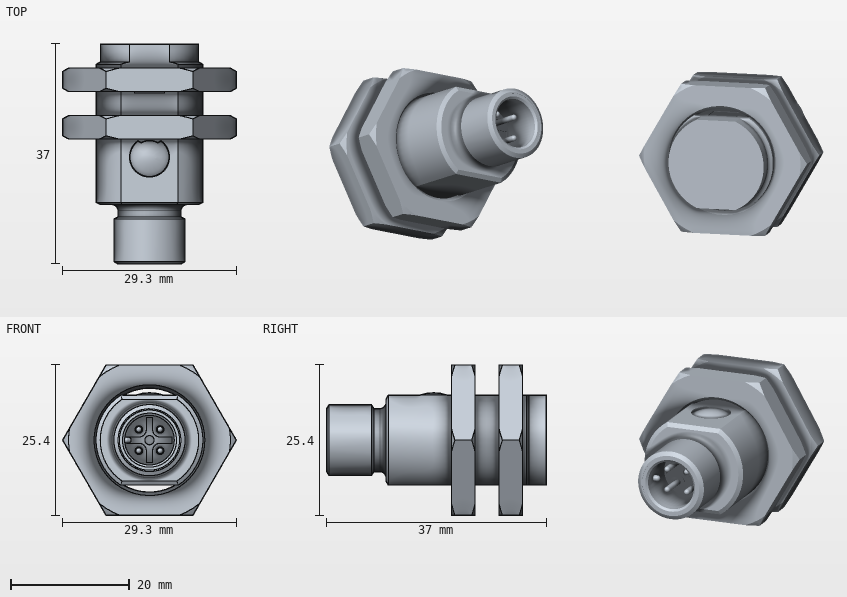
import cadquery as cq
import math

LENGTH = 37.0

BARREL_RADIUS = 9.0
FLAT_HALF_HEIGHT = 7.6
SHOULDER_Y = 10.0
REAR_NECK_RADIUS = 8.3
REAR_NECK_LENGTH = 2.95

BEVEL_RADIAL = 0.7
BEVEL_AXIAL = 0.4

CONNECTOR_RADIUS = 6.0
RELIEF_RADIUS = 5.33
RELIEF_FRONT_Y = 7.95
RELIEF_FILLET = 1.0

SOCKET_RADIUS = 4.18
SOCKET_DEPTH = 7.5
LEAD_IN_RADIAL = 0.37
LEAD_IN_AXIAL = 0.3
FACE_STEP_RADIUS = 5.07
FACE_STEP_DEPTH = 0.07

CONTACT_SPACING = 3.6
CONTACT_DIAMETER = 1.0
CONTACT_RADIUS = CONTACT_DIAMETER / 2
CONTACT_HOLE_RADIUS = 0.63
CONTACT_HOLE_DEPTH = 0.2
CONTACT_TIP_Y = 2.6

KEY_RADIUS = 0.5
KEY_TIP_X = -3.07
KEY_Y = 3.0

CROSS_LENGTH = 7.55
CROSS_WIDTH = 1.07
CROSS_FILLET = 1.22
CROSS_DEPTH = 0.2
CENTRE_HOLE_RADIUS = 0.78
CENTRE_HOLE_DEPTH = 0.37

BUTTON_Y = 18.02
BUTTON_RADIUS = 3.35
BUTTON_TOP = 8.0
BUTTON_RIM = 7.1
BUTTON_CLEARANCE = 0.07
TAB_INNER_RADIUS = 2.8
TAB_APEX = 1.63
TAB_SIDE_ANGLE = math.radians(30)

NUT_COUNT = 2
NUT_ACROSS_FLATS = 25.35
NUT_THICKNESS = 4.0
NUT_PITCH = 2 * NUT_THICKNESS
FIRST_NUT_Y = 21.0
NUT_BORE_RADIUS = 8.75
NUT_BORE_CHAMFER = 0.6
NUT_FACE_RADIUS = 13.6
NUT_CORNER_RADIUS = NUT_ACROSS_FLATS / math.sqrt(3)
NUT_BEVEL_AXIAL = (NUT_CORNER_RADIUS - NUT_FACE_RADIUS) * math.tan(math.radians(30))

LABEL_WIDTH = 5.1
LABEL_LENGTH = NUT_THICKNESS
LABEL_FRONT_Y = 28.82
LABEL_DEPTH = 0.1


def cylinder_y(radius, start_y, end_y, x=0.0, z=0.0):
    """Cylinder along Y between two stations."""
    axis = cq.Vector(0, 1, 0)
    return cq.Workplane(obj=cq.Solid.makeCylinder(radius, end_y - start_y, cq.Vector(x, start_y, z), axis))


def revolve_y(profile):
    """Revolve a closed (radius, y) outline about the Y axis."""
    return profile.close().revolve(360, (0, 0, 0), (0, 1, 0))


def make_barrel():
    """Round barrel with stepped rear end, flattened above and below."""
    neck_y = LENGTH - REAR_NECK_LENGTH
    barrel = revolve_y(
        cq.Workplane("XY")
        .moveTo(0, SHOULDER_Y)
        .lineTo(BARREL_RADIUS - BEVEL_RADIAL, SHOULDER_Y)
        .lineTo(BARREL_RADIUS, SHOULDER_Y + BEVEL_AXIAL)
        .lineTo(BARREL_RADIUS, neck_y - BEVEL_AXIAL)
        .lineTo(REAR_NECK_RADIUS, neck_y)
        .lineTo(REAR_NECK_RADIUS, LENGTH)
        .lineTo(0, LENGTH)
    )
    front_half_height = FLAT_HALF_HEIGHT - BEVEL_RADIAL
    flats = (
        cq.Workplane("YZ")
        .moveTo(SHOULDER_Y, -front_half_height)
        .lineTo(SHOULDER_Y + BEVEL_AXIAL, -FLAT_HALF_HEIGHT)
        .lineTo(LENGTH, -FLAT_HALF_HEIGHT)
        .lineTo(LENGTH, FLAT_HALF_HEIGHT)
        .lineTo(SHOULDER_Y + BEVEL_AXIAL, FLAT_HALF_HEIGHT)
        .lineTo(SHOULDER_Y, front_half_height)
        .close()
        .extrude(BARREL_RADIUS, both=True)
    )
    return barrel.intersect(flats)


def make_connector():
    """Connector sleeve with a relief groove blending into the shoulder."""
    thread_end_y = RELIEF_FRONT_Y - BEVEL_AXIAL
    fillet_mid = RELIEF_FILLET * (1 - math.sqrt(0.5))
    return revolve_y(
        cq.Workplane("XY")
        .moveTo(0, 0)
        .lineTo(CONNECTOR_RADIUS - BEVEL_RADIAL, 0)
        .lineTo(CONNECTOR_RADIUS, BEVEL_AXIAL)
        .lineTo(CONNECTOR_RADIUS, thread_end_y)
        .lineTo(RELIEF_RADIUS, RELIEF_FRONT_Y)
        .lineTo(RELIEF_RADIUS, SHOULDER_Y - RELIEF_FILLET)
        .threePointArc(
            (RELIEF_RADIUS + fillet_mid, SHOULDER_Y - fillet_mid),
            (RELIEF_RADIUS + RELIEF_FILLET, SHOULDER_Y),
        )
        .lineTo(0, SHOULDER_Y)
    )


def make_socket_cutter():
    """Socket bore with a lead-in chamfer and a shallow step in the end face."""
    lead_in_end_y = FACE_STEP_DEPTH + LEAD_IN_AXIAL
    return revolve_y(
        cq.Workplane("XY")
        .moveTo(0, 0)
        .lineTo(FACE_STEP_RADIUS, 0)
        .lineTo(FACE_STEP_RADIUS, FACE_STEP_DEPTH)
        .lineTo(SOCKET_RADIUS + LEAD_IN_RADIAL, FACE_STEP_DEPTH)
        .lineTo(SOCKET_RADIUS, lead_in_end_y)
        .lineTo(SOCKET_RADIUS, SOCKET_DEPTH)
        .lineTo(0, SOCKET_DEPTH)
    )


def make_cross_cutter():
    """Cross-shaped recess with a centre hole in the socket floor."""
    cross_end_y = SOCKET_DEPTH + CROSS_DEPTH
    middle_y = SOCKET_DEPTH + CROSS_DEPTH / 2
    upright = cq.Workplane("XY").box(CROSS_WIDTH, CROSS_DEPTH, CROSS_LENGTH)
    crossbar = cq.Workplane("XY").box(CROSS_LENGTH, CROSS_DEPTH, CROSS_WIDTH)
    reach = CROSS_WIDTH
    inner_corners = cq.selectors.BoxSelector((-reach, -reach, -reach), (reach, reach, reach))
    cross = upright.union(crossbar).edges("|Y").edges(inner_corners).fillet(CROSS_FILLET)
    hole = cylinder_y(CENTRE_HOLE_RADIUS, SOCKET_DEPTH, cross_end_y + CENTRE_HOLE_DEPTH)
    return cross.translate((0, middle_y, 0)).union(hole)


def make_contact(x, z):
    """Contact pin with a hemispherical tip, rooted in the bottom of its floor hole."""
    root_y = SOCKET_DEPTH + CONTACT_HOLE_DEPTH
    tip_centre_y = CONTACT_TIP_Y + CONTACT_RADIUS
    tip = cq.Workplane("XY", origin=(x, tip_centre_y, z)).sphere(CONTACT_RADIUS)
    return cylinder_y(CONTACT_RADIUS, tip_centre_y, root_y, x, z).union(tip)


def add_contacts(housing):
    """Sink a clearance hole in the socket floor for each contact and stand the pin in it."""
    offset = CONTACT_SPACING / 2
    for x in (-offset, offset):
        for z in (-offset, offset):
            hole = cylinder_y(CONTACT_HOLE_RADIUS, SOCKET_DEPTH, SOCKET_DEPTH + CONTACT_HOLE_DEPTH, x, z)
            housing = housing.cut(hole).union(make_contact(x, z))
    return housing


def make_key():
    """Radial coding peg with a hemispherical tip, rooted in the socket wall."""
    root_x = -(SOCKET_RADIUS + LEAD_IN_RADIAL)
    tip_centre_x = KEY_TIP_X - KEY_RADIUS
    shank = cq.Workplane("YZ", origin=(root_x, KEY_Y, 0)).circle(KEY_RADIUS).extrude(tip_centre_x - root_x)
    tip = cq.Workplane("XY", origin=(tip_centre_x, KEY_Y, 0)).sphere(KEY_RADIUS)
    return shank.union(tip)


def make_button_column(clearance, height):
    """Upright column from the pocket floor: a circle notched by a tab on its +Y side.

    The clearance draws the whole outline inward.
    """
    floor = cq.Workplane("XY", origin=(0, BUTTON_Y, BUTTON_RIM))
    apex_y = TAB_APEX - clearance / math.cos(TAB_SIDE_ANGLE)
    wedge_top_y = apex_y + BUTTON_RADIUS * math.tan(TAB_SIDE_ANGLE)
    wedge = (
        floor.moveTo(0, apex_y)
        .lineTo(BUTTON_RADIUS, wedge_top_y)
        .lineTo(-BUTTON_RADIUS, wedge_top_y)
        .close()
        .extrude(height)
    )
    tab = wedge.cut(floor.circle(TAB_INNER_RADIUS - clearance).extrude(height))
    return floor.circle(BUTTON_RADIUS - clearance).extrude(height).cut(tab)


def make_button_dome():
    """Spherical cap standing on the pocket floor, just clear of the pocket wall."""
    rise = BUTTON_TOP - BUTTON_RIM
    sphere_radius = (BUTTON_RADIUS**2 + rise**2) / (2 * rise)
    sphere = cq.Workplane("XY", origin=(0, BUTTON_Y, BUTTON_TOP - sphere_radius)).sphere(sphere_radius)
    return sphere.intersect(make_button_column(BUTTON_CLEARANCE, rise))


def make_label_cutter():
    """Shallow rectangular recess in the upper flat."""
    centre_y = LABEL_FRONT_Y + LABEL_LENGTH / 2
    floor_z = FLAT_HALF_HEIGHT - LABEL_DEPTH
    return cq.Workplane("XY", origin=(0, centre_y, floor_z)).rect(LABEL_WIDTH, LABEL_LENGTH).extrude(LABEL_DEPTH)


def make_housing():
    """Barrel, connector, contacts and button as one solid."""
    housing = make_barrel().union(make_connector())
    housing = housing.cut(make_socket_cutter()).cut(make_cross_cutter())
    housing = add_contacts(housing).union(make_key())
    pocket = make_button_column(0, FLAT_HALF_HEIGHT - BUTTON_RIM)
    housing = housing.cut(pocket).union(make_button_dome())
    return housing.cut(make_label_cutter())


def make_nut(start_y):
    """Hexagon nut with bevelled corners and a bore chamfered at both ends."""
    hexagon = cq.Workplane("XZ").polygon(6, 2 * NUT_CORNER_RADIUS).extrude(-NUT_THICKNESS)
    bevelled_ring = revolve_y(
        cq.Workplane("XY")
        .moveTo(NUT_BORE_RADIUS + NUT_BORE_CHAMFER, 0)
        .lineTo(NUT_FACE_RADIUS, 0)
        .lineTo(NUT_CORNER_RADIUS, NUT_BEVEL_AXIAL)
        .lineTo(NUT_CORNER_RADIUS, NUT_THICKNESS - NUT_BEVEL_AXIAL)
        .lineTo(NUT_FACE_RADIUS, NUT_THICKNESS)
        .lineTo(NUT_BORE_RADIUS + NUT_BORE_CHAMFER, NUT_THICKNESS)
        .lineTo(NUT_BORE_RADIUS, NUT_THICKNESS - NUT_BORE_CHAMFER)
        .lineTo(NUT_BORE_RADIUS, NUT_BORE_CHAMFER)
    )
    return hexagon.intersect(bevelled_ring).translate((0, start_y, 0))


nuts = [make_nut(FIRST_NUT_Y + i * NUT_PITCH) for i in range(NUT_COUNT)]

housing = make_housing()
for nut in nuts:
    housing = housing.cut(nut)

result = cq.Compound.makeCompound([housing.val(), *[nut.val() for nut in nuts]])